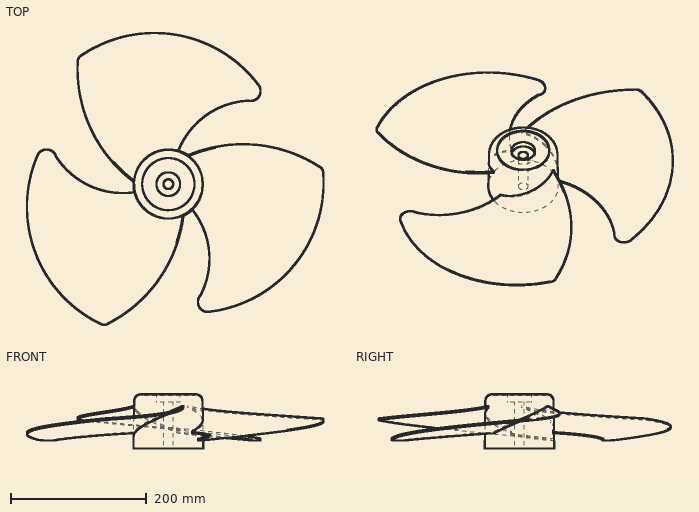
import cadquery as cq
import math

hub_height = 80.0
hub_top_radius = 50.5
hub_bottom_radius = 51.5
hub_top_fillet = 10.0
recess_radius = 38.5
recess_depth = 1.8
counterbore_radius = 17.5
counterbore_depth = 9.5
bore_radius = 7.0

blade_count = 3
blade_thickness = 2.5
helix_pitch = 134.0
blade_mid_height = 41.0
helix_start_angle = -95
helix_end_angle = 80
blade_edge_fillet = 1.1
helix_inner_radius = 26.3
helix_outer_radius = 262.7

blade_anchor = (17.5, 0)
leading_root = (23.5, 40.5)
leading_middle = (114, 59.0)
leading_end = (223.0, 26.0)
corner_middle = (227.0, 22.5)
rim_start = (228.5, 17.0)
rim_middle = (184, -121.7)
rim_end = (61.5, -188.5)
tip_middle = (44.5, -179.5)
trailing_start = (47.7, -163.5)
trailing_middle = (60.5, -105)
trailing_root = (29.5, -30.5)


def polar(radius, angle):
    """Point at a radius and an angle in degrees."""
    return radius * math.cos(math.radians(angle)), radius * math.sin(math.radians(angle))


def make_hub():
    """Slightly tapered drum with a rounded top edge."""
    drum = (
        cq.Workplane("XY")
        .circle(hub_bottom_radius)
        .workplane(offset=hub_height)
        .circle(hub_top_radius)
        .loft(ruled=True)
    )
    return drum.faces(">Z").edges().fillet(hub_top_fillet)


def make_helicoid():
    """Twist a thin radial wedge so the sheet has the same vertical thickness everywhere."""
    rise_per_degree = helix_pitch / 360
    half_wedge = blade_thickness / rise_per_degree / 2
    twist = helix_end_angle - helix_start_angle
    low_side = helix_start_angle - half_wedge
    high_side = helix_start_angle + half_wedge
    return (
        cq.Workplane("XY", origin=(0, 0, blade_mid_height + helix_start_angle * rise_per_degree))
        .moveTo(*polar(helix_inner_radius, low_side))
        .lineTo(*polar(helix_outer_radius, low_side))
        .lineTo(*polar(helix_outer_radius, high_side))
        .lineTo(*polar(helix_inner_radius, high_side))
        .close()
        .twistExtrude(twist * rise_per_degree, twist)
    )


def make_blade():
    """Trim the helicoid to the plan outline of a blade and round its upper edge."""
    outline = (
        cq.Workplane("XY")
        .moveTo(*blade_anchor)
        .lineTo(*leading_root)
        .threePointArc(leading_middle, leading_end)
        .threePointArc(corner_middle, rim_start)
        .threePointArc(rim_middle, rim_end)
        .threePointArc(tip_middle, trailing_start)
        .threePointArc(trailing_middle, trailing_root)
        .close()
        .extrude(hub_height)
    )
    blade = make_helicoid().intersect(outline)
    broad_faces = sorted(blade.faces().vals(), key=lambda face: face.Area())[-2:]
    upper_face = max(broad_faces, key=lambda face: face.Center().z)
    return blade.newObject(upper_face.Edges()).fillet(blade_edge_fillet)


def top_pocket(radius, top, depth):
    """Round cutter reaching down from a given height."""
    return cq.Workplane("XY").workplane(offset=top - depth).circle(radius).extrude(depth)


fan = make_hub()
blade = make_blade()
for index in range(blade_count):
    fan = fan.union(blade.rotate((0, 0, 0), (0, 0, 1), index * 360 / blade_count))

recess_floor = hub_height - recess_depth
fan = fan.cut(top_pocket(recess_radius, hub_height, recess_depth))
fan = fan.cut(top_pocket(counterbore_radius, recess_floor, counterbore_depth))
result = fan.cut(top_pocket(bore_radius, hub_height, hub_height))